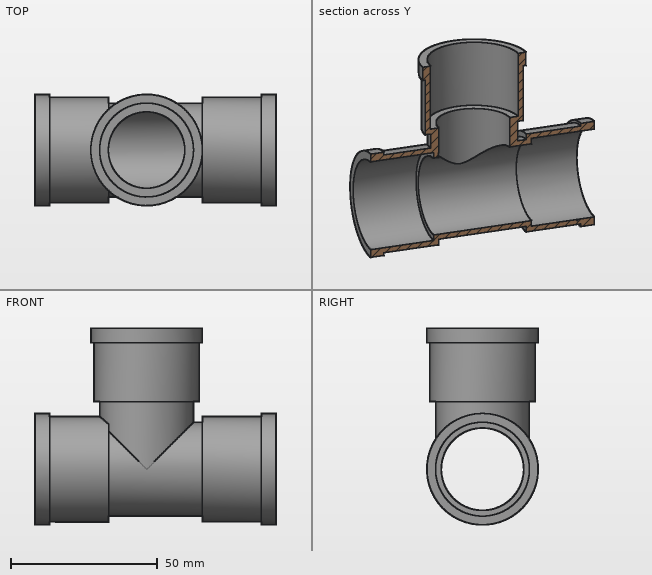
import cadquery as cq

run_length = 82.0
branch_height = 48.0
branch_offset = -3.0

rim_diameter = 38.0
rim_length = 5.0
sleeve_diameter = 36.0
socket_length = 25.0
socket_bore = 32.0
shoulder_thickness = 2.0
socket_depth = socket_length - shoulder_thickness

pipe_diameter = 32.0
run_bore = 28.0
branch_bore = 26.0


def cylinder(mouth, diameter, length):
    """Cylinder reaching inwards from a plane lying on a socket mouth."""
    return cq.Workplane(mouth).circle(diameter / 2).extrude(length)


def socket_body(mouth):
    """Sleeve with a raised rim at its mouth."""
    sleeve = cylinder(mouth, sleeve_diameter, socket_length)
    return sleeve.union(cylinder(mouth, rim_diameter, rim_length))


left_mouth = cq.Plane(origin=(-run_length / 2, 0, 0), xDir=(0, 0, 1), normal=(1, 0, 0))
right_mouth = cq.Plane(origin=(run_length / 2, 0, 0), xDir=(0, 0, 1), normal=(-1, 0, 0))
branch_mouth = cq.Plane(origin=(branch_offset, 0, branch_height), xDir=(1, 0, 0), normal=(0, 0, -1))
mouths = (left_mouth, right_mouth, branch_mouth)

body = cylinder(left_mouth, pipe_diameter, run_length)
body = body.union(cylinder(branch_mouth, pipe_diameter, branch_height))
for mouth in mouths:
    body = body.union(socket_body(mouth))

body = body.cut(cylinder(left_mouth, run_bore, run_length))
body = body.cut(cylinder(branch_mouth, branch_bore, branch_height))

for mouth in mouths:
    body = body.cut(cylinder(mouth, socket_bore, socket_depth))

result = body